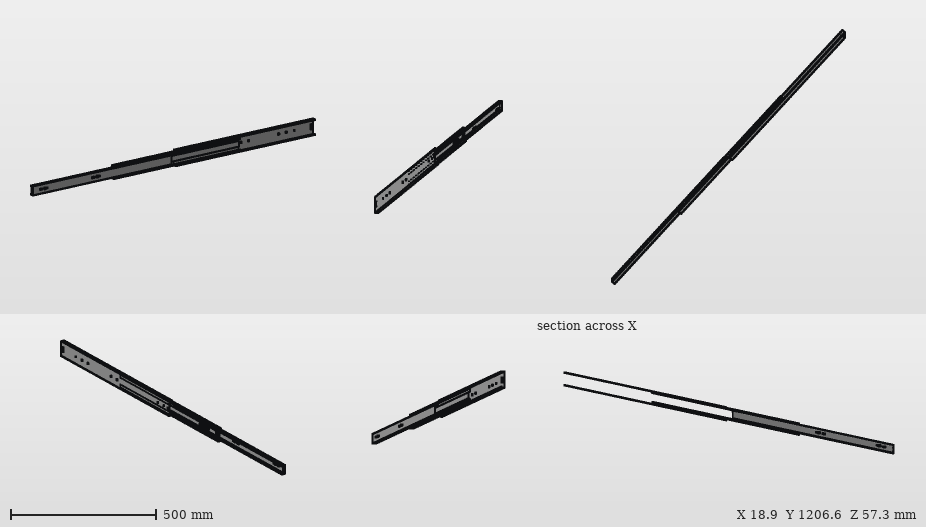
import cadquery as cq

slide_depth = 18.9
slide_length = 1206.6
outer_height = 57.32
middle_height = 48.0
inner_height = 34.0

member_depth = 12.9
nest_step = (slide_depth - member_depth) / 2
sheet = 1.6
cut_reach = 2 * slide_depth

outer_rear = slide_length / 2
outer_length = 594.0
middle_rear = 282.0
middle_length = 538.5
inner_front = -slide_length / 2
inner_length = 590.8

outer_lip = 3.7
middle_lip = 5.5
inner_lip = 3.5

outer_holes = [
    (80.0, 4.2),
    (115.0, 6.5),
    (147.0, 6.5),
    (275.0, 6.5),
    (307.0, 6.5),
    (531.0, 5.0),
    (563.0, 5.0),
    (587.0, 6.2),
]
rear_window_distance = 8.6
rear_window_length = 5.8
rear_window_height = 18.0

rib_base_half = 13.0
rib_top_half = 10.0
rib_rise = 5.0
access_slot_distance = 455.0
access_slot_length = 52.0
access_slot_height = 7.8
stop_window_distance = 522.5
stop_window_length = 9.0
stop_window_height = 15.0

keyhole_distances = [274.5, 51.5]
keyhole_diameter = 7.8
keyhole_neck_width = 4.2
keyhole_neck_reach = 11.5
front_slots = [(257.0, 11.0), (35.0, 9.5)]
front_slot_height = 5.0
front_tab_height = 16.0
front_tab_depth = 9.5


def mirrored_section(upper_half, rear, length):
    """Extrude an upper half section from its rear end toward -Y and mirror it below z = 0."""
    upper = upper_half.close().extrude(length).translate((0, rear, 0))
    return upper.union(upper.mirror("XY")).clean()


def lipped_flange(height, lip):
    """Upper flange of a channel with its web at x = 0, drawn from the web's back to its front."""
    outside = height / 2
    inside = outside - sheet
    return (
        cq.Workplane("XZ")
        .moveTo(0, outside)
        .lineTo(member_depth, outside)
        .lineTo(member_depth, outside - lip)
        .lineTo(member_depth - sheet, outside - lip)
        .lineTo(member_depth - sheet, inside)
        .lineTo(sheet, inside)
    )


def plain_channel(height, lip, rear, length):
    section = lipped_flange(height, lip).lineTo(sheet, 0).lineTo(0, 0)
    return mirrored_section(section, rear, length)


def web_cutter(y):
    return cq.Workplane("YZ").center(y, 0)


def hole(y, diameter):
    return web_cutter(y).circle(diameter / 2).extrude(cut_reach, both=True)


def slot(y, length, height):
    return web_cutter(y).slot2D(length, height).extrude(cut_reach, both=True)


def window(y, length, height):
    return web_cutter(y).rect(length, height).extrude(cut_reach, both=True)


def keyhole(y):
    """Round hole with a narrow neck running toward +Y."""
    neck = slot(y + keyhole_neck_reach / 2, keyhole_neck_reach, keyhole_neck_width)
    return hole(y, keyhole_diameter).union(neck)


def bent_tab(y, x_start, x_end, height):
    """Plate across the slide, from y to one sheet thickness further along +Y."""
    plate = cq.Workplane("XY").box(x_end - x_start, sheet, height, centered=(False, False, True))
    return plate.translate((x_start, y, 0))


def outer_member():
    """Channel whose rear window leaves a tab bent toward +X."""
    body = plain_channel(outer_height, outer_lip, outer_rear, outer_length)
    for distance, diameter in outer_holes:
        body = body.cut(hole(outer_rear - distance, diameter))
    window_y = outer_rear - rear_window_distance
    body = body.cut(window(window_y, rear_window_length, rear_window_height))
    tab_y = window_y - rear_window_length / 2 - sheet
    return body.union(bent_tab(tab_y, 0, sheet + rear_window_length, rear_window_height))


def middle_member():
    """Channel with a rib pressed toward +X along its web."""
    section = (
        lipped_flange(middle_height, middle_lip)
        .lineTo(sheet, rib_base_half)
        .lineTo(sheet + rib_rise, rib_top_half)
        .lineTo(sheet + rib_rise, 0)
        .lineTo(rib_rise, 0)
        .lineTo(rib_rise, rib_top_half)
        .lineTo(0, rib_base_half)
    )
    body = mirrored_section(section, middle_rear, middle_length)
    body = body.cut(slot(middle_rear - access_slot_distance, access_slot_length, access_slot_height))
    body = body.cut(window(middle_rear - stop_window_distance, stop_window_length, stop_window_height))
    return body.translate((nest_step, 0, 0))


def inner_member():
    """Channel turned round, with its web at +X and its lips at -X."""
    body = plain_channel(inner_height, inner_lip, inner_front + inner_length, inner_length)
    body = body.mirror("YZ").translate((member_depth, 0, 0))
    for distance in keyhole_distances:
        body = body.cut(keyhole(inner_front + distance))
    for distance, length in front_slots:
        body = body.cut(slot(inner_front + distance, length, front_slot_height))
    front_tab = bent_tab(inner_front, member_depth - front_tab_depth, member_depth, front_tab_height)
    return body.union(front_tab).translate((2 * nest_step, 0, 0))


outer = outer_member()
middle = middle_member()
inner = inner_member()
result = cq.Compound.makeCompound([outer.val(), middle.val(), inner.val()])